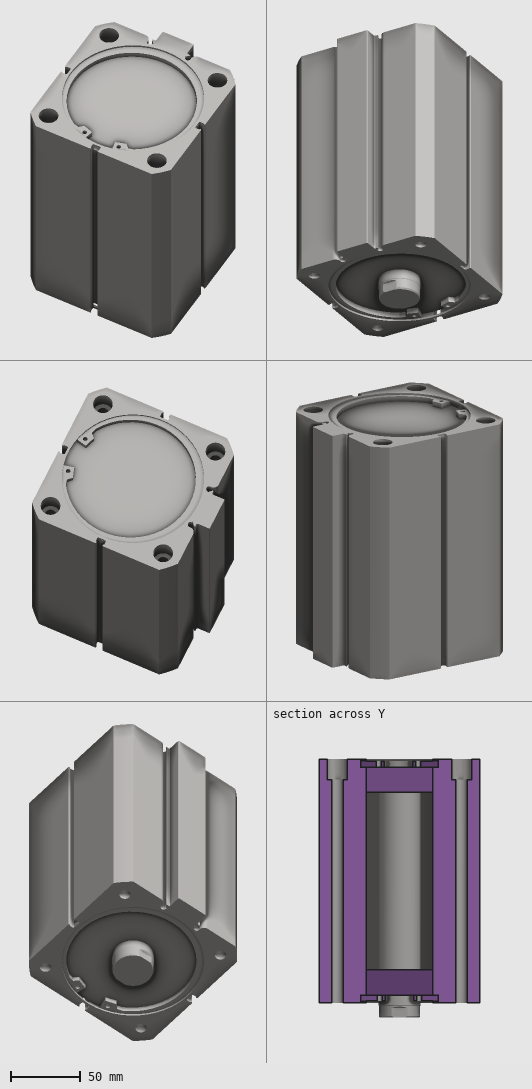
import cadquery as cq
import math

housing_width = 115.0
housing_length = 174.6
corner_radius = 74.5
bore_radius = 50.9

mount_spacing = 88.8
mount_hole_diameter = 8.1
counterbore_diameter = 14.0
counterbore_depth = 14.8

slot_depth = 5.0
slot_half_width = 3.3
slot_mouth_half_width = 2.5
slot_floor_chamfer = 0.5

rail_half_width = 12.8
rail_height = 8.9
rail_corner_radius = 0.7
rail_shoulder_drop = 1.3
rail_root_chamfer = 0.7
rail_tip_height = 0.7
pocket_center_x = 15.5
pocket_center_drop = 4.8
pocket_radius = 2.0
pocket_lip_radius = 4.0

groove_radius = 52.7
groove_setback = 1.5
ring_thickness = 4.0
ring_inner_radius = 46.6
ring_inner_offset = 1.8
ring_arc_end_x = 24.6
lug_foot = (20.5, -42.5)
lug_outer_corner = (17.4, -39.4)
lug_inner_corner = (9.5, -42.0)
lug_end_x = 11.7
plier_hole_center = (14.0, -44.8)
plier_hole_radius = 1.7
top_ring_turn = -0.8

cover_thickness = 18.5

rod_radius = 15.0
rod_tip_radius = 14.8
rod_projection = 10.4
rod_step_start = 1.5
rod_step_end = 2.0
rod_flat_distance = 13.7
rod_flat_top = 3.5
rod_end_chamfer_height = 1.3
rod_end_chamfer_width = 0.5

half_width = housing_width / 2
bottom_ring_z = groove_setback
top_ring_z = housing_length - groove_setback - ring_thickness
collar_z = bottom_ring_z + ring_thickness
head_cover_z = top_ring_z - cover_thickness


def mirrored(points):
    return [(-x, y) for x, y in reversed(points)]


def cylinder(radius, start_z, height):
    return cq.Workplane("XY").workplane(offset=start_z).circle(radius).extrude(height)


def make_barrel():
    square = cq.Workplane("XY").rect(housing_width, housing_width).extrude(housing_length)
    return square.intersect(cylinder(corner_radius, 0, housing_length))


def make_rail_outline():
    """Rail section from its root in the barrel up to its top, above the undercut pockets."""
    shoulder_y = half_width - rail_shoulder_drop
    tip_y = shoulder_y - rail_tip_height
    pocket_y = half_width - pocket_center_drop
    undercut_x = pocket_center_x - (tip_y - pocket_y)
    right_side = [
        (undercut_x, pocket_y),
        (pocket_center_x, tip_y),
        (pocket_center_x, shoulder_y),
        (rail_half_width + rail_root_chamfer, shoulder_y),
        (rail_half_width, shoulder_y + rail_root_chamfer),
        (rail_half_width, half_width + rail_height),
    ]
    return right_side + mirrored(right_side)


def make_rail():
    rail = cq.Workplane("XY").polyline(make_rail_outline()).close().extrude(housing_length)
    return rail.edges("|Z and >Y").fillet(rail_corner_radius)


def make_rail_recess():
    """Wide opening beside the rail: rounded lips at the face, a round pocket at each side."""
    pocket_y = half_width - pocket_center_drop
    wall_x = pocket_center_x + pocket_radius
    lip_y = half_width - pocket_lip_radius
    lip_x = wall_x + pocket_lip_radius
    lip_mid_x = lip_x - pocket_lip_radius * math.sqrt(0.5)
    lip_mid_y = lip_y + pocket_lip_radius * math.sqrt(0.5)
    opening = (
        cq.Workplane("XY")
        .moveTo(-wall_x, pocket_y)
        .lineTo(wall_x, pocket_y)
        .lineTo(wall_x, lip_y)
        .threePointArc((lip_mid_x, lip_mid_y), (lip_x, half_width))
        .lineTo(-lip_x, half_width)
        .threePointArc((-lip_mid_x, lip_mid_y), (-wall_x, lip_y))
        .close()
        .extrude(housing_length)
    )
    return opening.cut(make_rail())


def make_rail_pockets():
    return (
        cq.Workplane("XY")
        .pushPoints([(side * pocket_center_x, half_width - pocket_center_drop) for side in (-1, 1)])
        .circle(pocket_radius)
        .extrude(housing_length)
    )


def make_slot():
    """Slot in the -Y face, with a rounded lip on either side of its mouth."""
    face_y = -half_width
    floor_y = face_y + slot_depth
    lip_radius = slot_half_width - slot_mouth_half_width
    floor_half_width = slot_half_width - slot_floor_chamfer
    return (
        cq.Workplane("XY")
        .moveTo(-slot_half_width, face_y)
        .lineTo(slot_half_width, face_y)
        .threePointArc(
            (slot_mouth_half_width, face_y + lip_radius),
            (slot_half_width, face_y + 2 * lip_radius),
        )
        .lineTo(slot_half_width, floor_y - slot_floor_chamfer)
        .lineTo(floor_half_width, floor_y)
        .lineTo(-floor_half_width, floor_y)
        .lineTo(-slot_half_width, floor_y - slot_floor_chamfer)
        .lineTo(-slot_half_width, face_y + 2 * lip_radius)
        .threePointArc(
            (-slot_mouth_half_width, face_y + lip_radius),
            (-slot_half_width, face_y),
        )
        .close()
        .extrude(housing_length)
    )


def make_housing():
    body = make_barrel().cut(make_rail_recess()).union(make_rail()).cut(make_rail_pockets())
    for turn in (-90, 0, 90):
        body = body.cut(make_slot().rotate((0, 0, 0), (0, 0, 1), turn))
    body = (
        body.faces(">Z")
        .workplane(origin=(0, 0, housing_length))
        .rect(mount_spacing, mount_spacing, forConstruction=True)
        .vertices()
        .cboreHole(mount_hole_diameter, counterbore_diameter, counterbore_depth)
    )
    body = body.cut(cylinder(bore_radius, 0, housing_length))
    for ring_z in (bottom_ring_z, top_ring_z):
        body = body.cut(cylinder(groove_radius, ring_z, ring_thickness))
    return body


def make_retaining_ring(start_z, turn):
    """Open ring with its gap toward -Y and a drilled lug at each end."""
    arc_end_drop = math.sqrt(ring_inner_radius**2 - ring_arc_end_x**2)
    arc_end = (ring_arc_end_x, -ring_inner_offset - arc_end_drop)
    lug_end = (lug_end_x, -math.sqrt(groove_radius**2 - lug_end_x**2))
    right_lug = [lug_end, lug_inner_corner, lug_outer_corner, lug_foot, arc_end]
    left_lug = mirrored(right_lug)
    ring = (
        cq.Workplane("XY")
        .workplane(offset=start_z)
        .polyline(right_lug)
        .threePointArc((0, ring_inner_radius - ring_inner_offset), left_lug[0])
        .polyline(left_lug[1:], includeCurrent=True)
        .threePointArc((0, groove_radius), lug_end)
        .close()
        .extrude(ring_thickness)
    )
    hole_x, hole_y = plier_hole_center
    holes = (
        cq.Workplane("XY")
        .workplane(offset=start_z)
        .pushPoints([(-hole_x, hole_y), (hole_x, hole_y)])
        .circle(plier_hole_radius)
        .extrude(ring_thickness)
    )
    return ring.cut(holes).rotate((0, 0, 0), (0, 0, 1), turn)


def make_head_cover():
    return cylinder(bore_radius, head_cover_z, cover_thickness)


def make_rod_collar():
    collar = cylinder(bore_radius, collar_z, cover_thickness)
    return collar.cut(cylinder(rod_radius, collar_z, cover_thickness))


def make_rod_flat_cut():
    """Tool section of the wrench flat on the -Y side, with a 45 degree run-out at its top."""
    runout = rod_radius - rod_flat_distance
    return (
        cq.Workplane("YZ")
        .moveTo(-rod_flat_distance, -rod_projection)
        .lineTo(-rod_flat_distance, -rod_flat_top)
        .lineTo(-rod_radius, -rod_flat_top + runout)
        .lineTo(-rod_radius, -rod_projection)
        .close()
        .extrude(rod_radius, both=True)
    )


def make_piston_rod():
    """Turned rod running from the head cover out through the collar, with two wrench flats."""
    rod = (
        cq.Workplane("XZ")
        .moveTo(0, head_cover_z)
        .lineTo(rod_radius, head_cover_z)
        .lineTo(rod_radius, -rod_step_start)
        .lineTo(rod_tip_radius, -rod_step_end)
        .lineTo(rod_tip_radius, -rod_projection + rod_end_chamfer_height)
        .lineTo(rod_tip_radius - rod_end_chamfer_width, -rod_projection)
        .lineTo(0, -rod_projection)
        .close()
        .revolve(360, (0, 0, 0), (0, 1, 0))
    )
    for turn in (0, 180):
        rod = rod.cut(make_rod_flat_cut().rotate((0, 0, 0), (0, 0, 1), turn))
    return rod


housing = make_housing()
head_cover = make_head_cover()
rod_collar = make_rod_collar()
piston_rod = make_piston_rod()
ring_placements = [(bottom_ring_z, 0), (top_ring_z, top_ring_turn)]
retaining_rings = [make_retaining_ring(ring_z, turn) for ring_z, turn in ring_placements]

result = cq.Compound.makeCompound(
    [housing.val(), head_cover.val(), rod_collar.val(), piston_rod.val()]
    + [ring.val() for ring in retaining_rings]
)